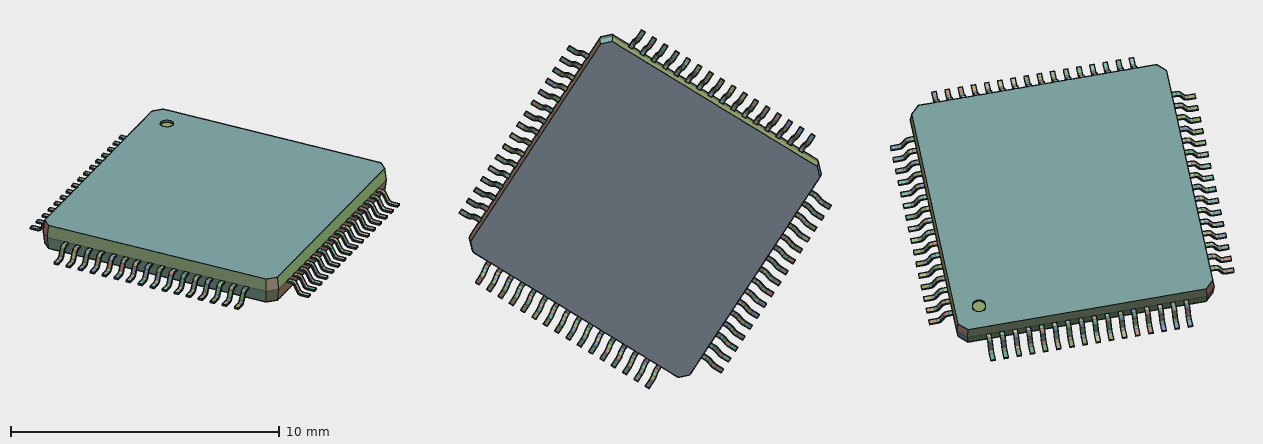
import cadquery as cq
import math

BODY_WIDTH = 9.8
BODY_HEIGHT = 1.0
CORNER_CHAMFER = 0.35
FACE_INSET = 0.06
PARTING_Z = BODY_HEIGHT / 2

MARK_DIAMETER = 0.5
MARK_DEPTH = 0.09
MARK_OFFSET = 3.93

SPAN_X = 11.57
SPAN_Y = 11.58
LEADS_PER_SIDE = 16
ROW_LENGTH = 7.5
LEAD_PITCH = ROW_LENGTH / (LEADS_PER_SIDE - 1)
LEAD_WIDTH = 0.17
LEAD_THICKNESS = 0.07
LEAD_TOP_Z = PARTING_Z
SHOULDER_LENGTH = 0.16
ROOT_DEPTH = 0.12
BEND_RADIUS = 0.17
SLOPE_ANGLE = math.radians(62)


def make_body():
    """Octagonal block that tapers up and down from the parting plane."""
    taper = math.degrees(math.atan(FACE_INSET / PARTING_Z))
    half = BODY_WIDTH / 2
    flat = half - CORNER_CHAMFER
    outline = [
        (-flat, -half), (flat, -half), (half, -flat), (half, flat),
        (flat, half), (-flat, half), (-half, flat), (-half, -flat),
    ]
    parting_plane = cq.Workplane("XY").workplane(offset=PARTING_Z)
    upper = parting_plane.polyline(outline).close().extrude(BODY_HEIGHT - PARTING_Z, taper=taper)
    lower = parting_plane.polyline(outline).close().extrude(-PARTING_Z, taper=taper)
    return upper.union(lower)


def make_lead(tip):
    """One lead running along +X, with its foot ending at x = tip and centred on y = 0."""
    half_thickness = LEAD_THICKNESS / 2
    inner = BEND_RADIUS - half_thickness
    outer = BEND_RADIUS + half_thickness
    root = BODY_WIDTH / 2 - ROOT_DEPTH

    upper_x = BODY_WIDTH / 2 + SHOULDER_LENGTH
    upper_z = LEAD_TOP_Z - outer
    lower_z = outer
    bend_drop = 2 * BEND_RADIUS * (1 - math.cos(SLOPE_ANGLE))
    slope_drop = LEAD_TOP_Z - LEAD_THICKNESS - bend_drop
    slope_run = slope_drop / math.tan(SLOPE_ANGLE)
    lower_x = upper_x + 2 * BEND_RADIUS * math.sin(SLOPE_ANGLE) + slope_run

    def upper_bend(radius, turn):
        return (upper_x + radius * math.sin(turn), upper_z + radius * math.cos(turn))

    def lower_bend(radius, turn):
        return (lower_x - radius * math.sin(turn), lower_z - radius * math.cos(turn))

    middle = SLOPE_ANGLE / 2
    profile = (
        cq.Workplane("XZ")
        .moveTo(root, LEAD_TOP_Z)
        .lineTo(*upper_bend(outer, 0))
        .threePointArc(upper_bend(outer, middle), upper_bend(outer, SLOPE_ANGLE))
        .lineTo(*lower_bend(inner, SLOPE_ANGLE))
        .threePointArc(lower_bend(inner, middle), lower_bend(inner, 0))
        .lineTo(tip, LEAD_THICKNESS)
        .lineTo(tip, 0)
        .lineTo(*lower_bend(outer, 0))
        .threePointArc(lower_bend(outer, middle), lower_bend(outer, SLOPE_ANGLE))
        .lineTo(*upper_bend(inner, SLOPE_ANGLE))
        .threePointArc(upper_bend(inner, middle), upper_bend(inner, 0))
        .lineTo(root, LEAD_TOP_Z - LEAD_THICKNESS)
        .close()
    )
    return profile.extrude(LEAD_WIDTH / 2, both=True).val()


def make_lead_row(tip, side_angle):
    """A row of leads on the +X side, turned about Z to its own side of the body."""
    lead = make_lead(tip)
    row = []
    for index in range(LEADS_PER_SIDE):
        y = index * LEAD_PITCH - ROW_LENGTH / 2
        placed = lead.translate(cq.Vector(0, y, 0))
        row.append(placed.rotate(cq.Vector(0, 0, 0), cq.Vector(0, 0, 1), side_angle))
    return row


def make_mark():
    """Cutter for the round mark near the -X, +Y corner."""
    return (
        cq.Workplane("XY")
        .workplane(offset=BODY_HEIGHT)
        .center(-MARK_OFFSET, MARK_OFFSET)
        .circle(MARK_DIAMETER / 2)
        .extrude(-MARK_DEPTH)
    )


leads = []
for side_angle, span in ((0, SPAN_X), (90, SPAN_Y), (180, SPAN_X), (270, SPAN_Y)):
    leads += make_lead_row(span / 2, side_angle)

body = make_body().cut(make_mark())
result = cq.Workplane("XY").newObject([body.val().fuse(*leads)])